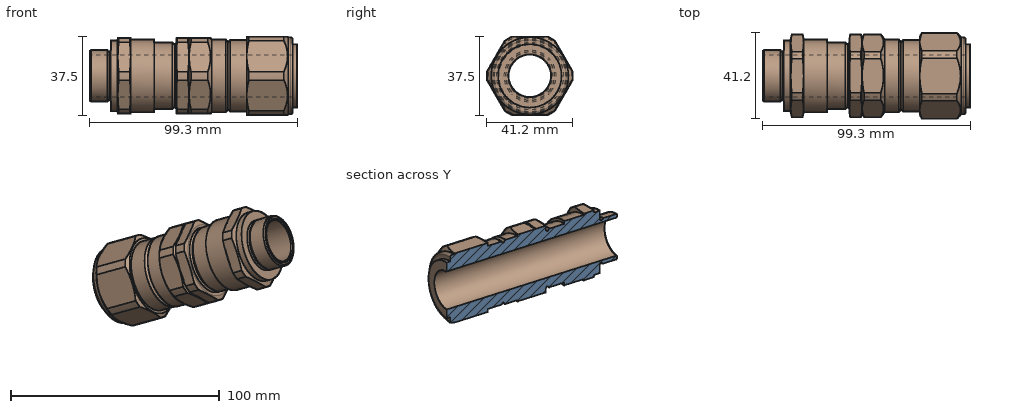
import cadquery as cq
import math

total_length = 99.3

thread_radius = 12.4
thread_end = 8.4
thread_chamfer = 0.7
relief_depth = 0.9
relief_start = thread_end + relief_depth
relief_end = 9.6

flange_start = 10.2
flange_radius = 17.0
body_start = 19.8
body_radius = 17.5
body_end = 30.9

neck_radius = 16.0
neck_end = 39.5
neck_gap_depth = 1.1
neck_gap_length = 1.3
neck_gap_bottom = neck_end + neck_gap_length

small_hex_flats = 36.2
small_hex_rounding = 39.7
large_hex_flats = 37.5
large_hex_rounding = 41.2

entry_hex_start = 13.3
lock_hex_start = 41.5
lock_hex_end = 47.6
middle_hex_start = lock_hex_end
middle_hex_end = 58.4
cap_hex_start = 75.2
cap_hex_end = 95.0
hex_joint_radius = 17.9
cap_cone_radius = 18.6

entry_front_cone_length = 0.7
entry_back_cone_length = 0.6
lock_cone_length = 0.4
joint_front_cone_length = 0.5
joint_back_cone_length = 1.0
middle_back_cone_length = 1.8
cap_front_cone_length = 1.1
cap_back_cone_length = 2.0

collar_end = 65.2
collar_gap_depth = 1.4
collar_gap_length = 1.0
collar_gap_bottom = collar_end + collar_gap_length
cap_body_start = 67.3
cap_body_radius = 17.2

rim_radius = 18.5
rim_end = 97.2
rim_fillet = 1.1
seal_radius = 15.2

bore_radius = 10.1
bore_chamfer = 0.6


def revolve_about_x(profile):
    """Turn a closed outline of (x, radius) points around the X axis."""
    return cq.Workplane("XY").polyline(profile).close().revolve(360, (0, 0, 0), (1, 0, 0))


def round_section(start, end, radius):
    """Plain cylinder between two stations."""
    base = cq.Workplane("YZ").workplane(offset=start)
    return base.circle(radius).extrude(end - start)


def hex_section(flats, rounding, start, end, left_cone, right_cone):
    """Hexagon with flats facing +Z and -Z, its corners rounded and both ends turned conical.

    flats is the size across flats, rounding the diameter of the turned corners.
    left_cone and right_cone are (radius at the end face, axial length of the cone).
    """
    corner_diameter = flats / math.cos(math.pi / 6)
    base = cq.Workplane("YZ").workplane(offset=start)
    prism = base.polygon(6, corner_diameter).extrude(end - start)
    round_radius = rounding / 2
    left_radius, left_length = left_cone
    right_radius, right_length = right_cone
    envelope = revolve_about_x(
        [
            (start, 0),
            (start, left_radius),
            (start + left_length, round_radius),
            (end - right_length, round_radius),
            (end, right_radius),
            (end, 0),
        ]
    )
    return prism.intersect(envelope)


core = revolve_about_x(
    [
        (0, 0),
        (0, thread_radius - thread_chamfer),
        (thread_chamfer, thread_radius),
        (thread_end, thread_radius),
        (relief_start, thread_radius - relief_depth),
        (relief_end, thread_radius - relief_depth),
        (flange_start, thread_radius),
        (flange_start, flange_radius),
        (body_start, flange_radius),
        (body_start, body_radius),
        (body_end, body_radius),
        (body_end, neck_radius),
        (neck_end, neck_radius),
        (neck_gap_bottom, neck_radius - neck_gap_depth),
        (lock_hex_start, neck_radius),
        (lock_hex_start, body_radius),
        (collar_end, body_radius),
        (collar_gap_bottom, body_radius - collar_gap_depth),
        (cap_body_start, cap_body_radius),
        (cap_hex_end, cap_body_radius),
        (cap_hex_end, 0),
    ]
)

entry_hex = hex_section(
    small_hex_flats,
    small_hex_rounding,
    entry_hex_start,
    body_start,
    left_cone=(flange_radius, entry_front_cone_length),
    right_cone=(body_radius, entry_back_cone_length),
)
lock_hex = hex_section(
    small_hex_flats,
    small_hex_rounding,
    lock_hex_start,
    lock_hex_end,
    left_cone=(body_radius, lock_cone_length),
    right_cone=(hex_joint_radius, joint_front_cone_length),
)
middle_hex = hex_section(
    small_hex_flats,
    small_hex_rounding,
    middle_hex_start,
    middle_hex_end,
    left_cone=(hex_joint_radius, joint_back_cone_length),
    right_cone=(body_radius, middle_back_cone_length),
)
cap_hex = hex_section(
    large_hex_flats,
    large_hex_rounding,
    cap_hex_start,
    cap_hex_end,
    left_cone=(cap_cone_radius, cap_front_cone_length),
    right_cone=(rim_radius, cap_back_cone_length),
)

rim = round_section(cap_hex_end, rim_end, rim_radius).faces(">X").edges().fillet(rim_fillet)
seal_ring = round_section(rim_end, total_length, seal_radius)

passage = round_section(0, total_length, bore_radius)
passage_mouth = revolve_about_x(
    [
        (0, 0),
        (0, bore_radius + bore_chamfer),
        (bore_chamfer, bore_radius),
        (bore_chamfer, 0),
    ]
)

result = core
for section in (entry_hex, lock_hex, middle_hex, cap_hex, rim, seal_ring):
    result = result.union(section)
result = result.cut(passage).cut(passage_mouth)